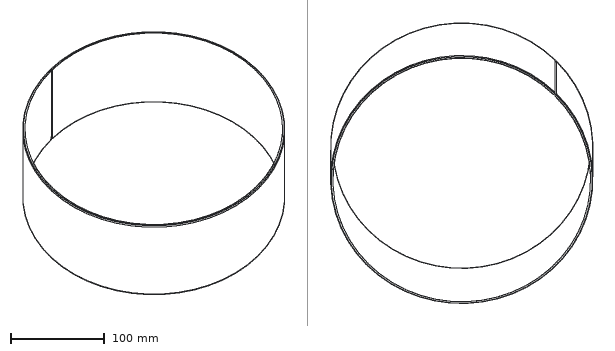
import cadquery as cq

outer_diameter = 280.0
height = 110.0
wall = 2.5
chamfer_width = 0.7
chamfer_height = 1.7
slit_width = 2.0
slit_start = 0.3

outer_radius = outer_diameter / 2
inner_radius = outer_radius - wall


def make_band():
    """Thin ring along Z, centred on the origin, with both outer rims bevelled."""
    body = cq.Workplane("XY").cylinder(height, outer_radius)
    body = body.faces("<Z or >Z").edges().chamfer(chamfer_height, chamfer_width)
    bore = cq.Workplane("XY").cylinder(height, inner_radius)
    return body.cut(bore)


def make_slit():
    """Full-height cutter on the -X side, lying on the +Y side of the XZ plane."""
    cutter = cq.Workplane("XY").box(2 * wall, slit_width, height)
    return cutter.translate((-outer_radius + wall / 2, slit_start + slit_width / 2, 0))


result = make_band().cut(make_slit())